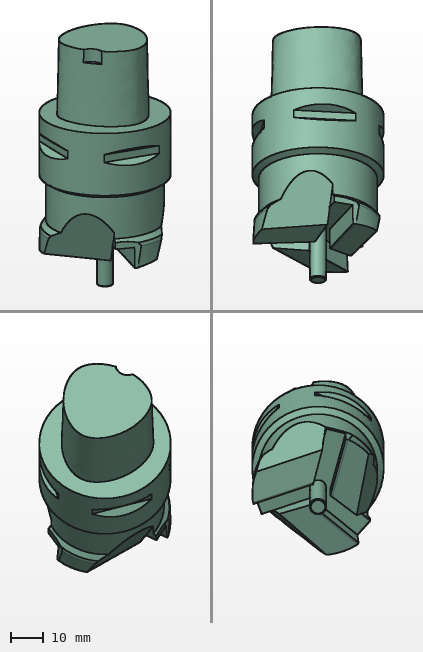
import cadquery as cq
import math

shank_top = 23.85
flange_bottom = -19.9
neck_top = -21.2
neck_bottom = -34.5
collar_edge = -36.1
collar_widest = -37.1
notch_roof = -37.5
head_bottom = -44.0
pin_bottom = shank_top - 79

flange_radius = 20.0
neck_radius = 18.0
collar_edge_radius = 19.5
collar_radius = 19.8
head_bottom_radius = 20.0
pin_radius = 5.0 / 2
pin_chamfer = 0.3

shank_base_radius = 14.0
shank_top_radius = 13.4
lobe_height = 0.8
outline_points = 36
key_radius = 3.55
key_center_y = -14.5
key_depth = 4.1

slot_angles = (45, 135, 225, 315)
slot_z = -8.05
slot_floor_distance = 17.6
slot_floor_height = 2.45
slot_mouth_height = 5.4

teeth = ((60, 30), (180, 152), (304, 270))
rake_offset = -2.3
notch_back_offset = 3.7
notch_inner_distance = 0.4
flute_top = -26.8
flute_slope = 0.325
tooth_flat_distance = 18.8
tooth_flat_slope = 0.075
tooth_flat_top = -35.3
tooth_flat_end = 7.9
land_slope = 0.143
land_start = 4.3
reach = 31.6


def shank_outline(mean_radius):
    """Constant-width trilobe with one lobe toward +Y."""
    points = []
    for i in range(outline_points):
        angle = 2 * math.pi * i / outline_points
        support = mean_radius - lobe_height * math.sin(3 * angle)
        support_rate = -3 * lobe_height * math.cos(3 * angle)
        points.append((
            support * math.cos(angle) - support_rate * math.sin(angle),
            support * math.sin(angle) + support_rate * math.cos(angle),
        ))
    return points


def make_shank():
    shank = (
        cq.Workplane("XY")
        .spline(shank_outline(shank_base_radius), periodic=True).close()
        .workplane(offset=shank_top)
        .spline(shank_outline(shank_top_radius), periodic=True).close()
        .loft(ruled=True)
    )
    key = (
        cq.Workplane("XY", origin=(0, key_center_y, shank_top - key_depth))
        .circle(key_radius).extrude(key_depth)
    )
    return shank.cut(key)


def make_body():
    """Flange, neck and cutting head turned about Z."""
    profile = [
        (0, 0),
        (flange_radius, 0),
        (flange_radius, flange_bottom),
        (neck_radius, neck_top),
        (neck_radius, neck_bottom),
        (collar_edge_radius, collar_edge),
        (collar_radius, collar_widest),
        (head_bottom_radius, head_bottom),
        (0, head_bottom),
    ]
    return cq.Workplane("XZ").polyline(profile).close().revolve(360, (0, 0, 0), (0, 1, 0))


def make_pin():
    length = notch_roof - pin_bottom
    pin = cq.Workplane("XY", origin=(0, 0, pin_bottom)).circle(pin_radius).extrude(length)
    return pin.faces("<Z").chamfer(pin_chamfer)


def prism(points, start, end, azimuth):
    """Extrude a (radial, height) outline tangentially from start to end at an azimuth."""
    solid = cq.Workplane("XZ", origin=(0, start, 0)).polyline(points).close().extrude(start - end)
    return solid.rotate((0, 0, 0), (0, 0, 1), azimuth)


def make_slot(azimuth):
    """Flat-floored gripper slot with flared upper and lower walls."""
    points = [
        (slot_floor_distance, slot_z - slot_floor_height / 2),
        (slot_floor_distance, slot_z + slot_floor_height / 2),
        (flange_radius, slot_z + slot_mouth_height / 2),
        (flange_radius, slot_z - slot_mouth_height / 2),
    ]
    return prism(points, -reach, reach, azimuth)


def ahead_of_rake(azimuth):
    """Space in front of the rake wall of the tooth at an azimuth."""
    points = [(-reach, 0), (reach, 0), (reach, pin_bottom), (-reach, pin_bottom)]
    return prism(points, -2 * reach, rake_offset, azimuth)


def make_flute(tooth_azimuth, flute_azimuth):
    """Sloping chip flute that stops at the rake wall of its tooth."""
    inner_distance = neck_radius - flute_slope * (flute_top - pin_bottom)
    points = [
        (neck_radius, flute_top),
        (reach, flute_top),
        (reach, pin_bottom),
        (inner_distance, pin_bottom),
    ]
    return prism(points, -reach, reach, flute_azimuth).intersect(ahead_of_rake(tooth_azimuth))


def make_tooth_flat(azimuth):
    """Leaning flat on the outside of a tooth, next to its rake wall."""
    def flat_distance(z):
        return tooth_flat_distance + tooth_flat_slope * (tooth_flat_top - z)

    points = [
        (flat_distance(neck_bottom), neck_bottom),
        (reach, neck_bottom),
        (reach, head_bottom),
        (flat_distance(head_bottom), head_bottom),
    ]
    return prism(points, rake_offset, tooth_flat_end, azimuth)


def make_notch(azimuth):
    """Insert seat open to the front, outside and bottom of a tooth."""
    points = [
        (notch_inner_distance, notch_roof),
        (reach, notch_roof),
        (reach, head_bottom),
        (notch_inner_distance, head_bottom),
    ]
    return prism(points, rake_offset, notch_back_offset, azimuth)


def make_end_relief(azimuth, next_azimuth):
    """Wedge that raises the bottom behind a tooth, as far as the next rake wall."""
    wedge = (
        cq.Workplane("YZ", origin=(-reach, 0, 0))
        .polyline([
            (land_start, head_bottom),
            (reach, head_bottom + land_slope * (reach - land_start)),
            (reach, head_bottom),
        ])
        .close().extrude(2 * reach)
        .rotate((0, 0, 0), (0, 0, 1), azimuth)
    )
    return wedge.intersect(ahead_of_rake(next_azimuth))


body = make_body()
for slot_angle in slot_angles:
    body = body.cut(make_slot(slot_angle))

for index, (tooth_angle, flute_angle) in enumerate(teeth):
    next_tooth_angle = teeth[(index + 1) % len(teeth)][0]
    body = body.cut(make_flute(tooth_angle, flute_angle))
    body = body.cut(make_tooth_flat(tooth_angle))
    body = body.cut(make_notch(tooth_angle))
    body = body.cut(make_end_relief(tooth_angle, next_tooth_angle))

result = body.union(make_shank()).union(make_pin())